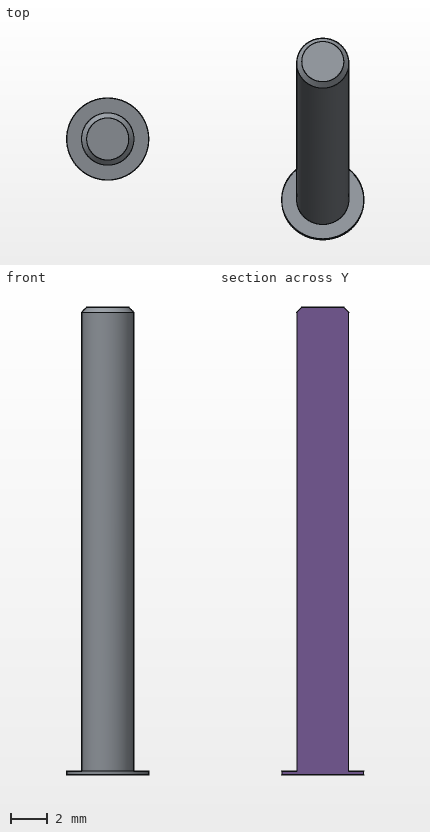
import cadquery as cq

total_height = 25.4
head_diameter = 4.47
head_thickness = 0.2
shank_diameter = 2.85
tip_chamfer = 0.28

head = cq.Workplane("XY").circle(head_diameter / 2).extrude(head_thickness)

shank = (
    cq.Workplane("XY")
    .circle(shank_diameter / 2)
    .extrude(total_height)
    .faces(">Z")
    .chamfer(tip_chamfer)
)

result = head.union(shank)